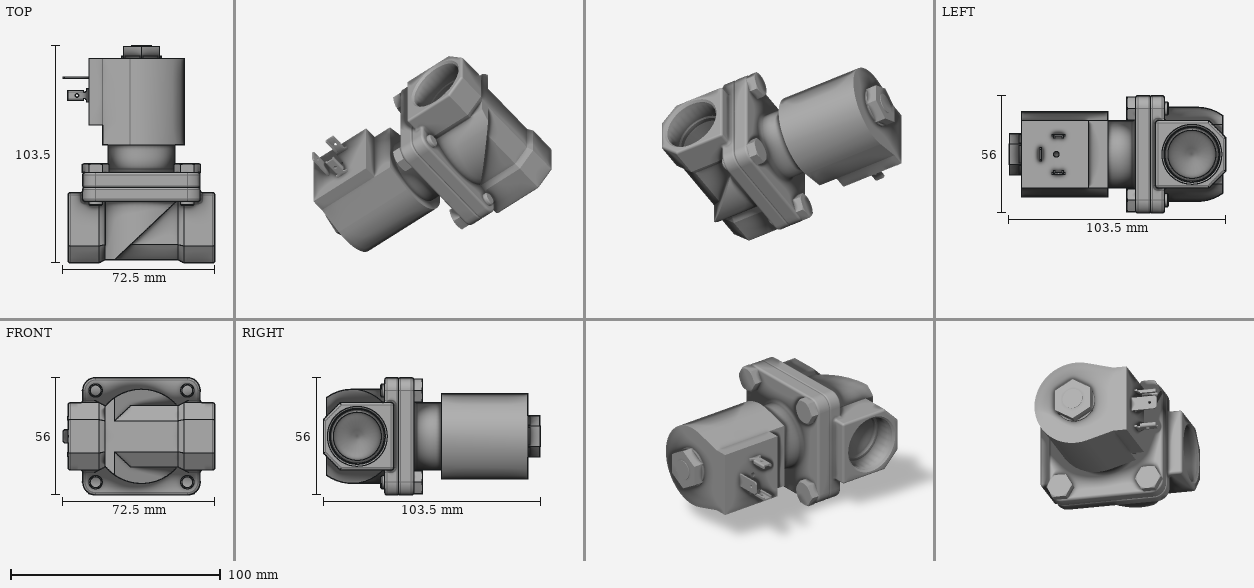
import cadquery as cq
import math


body_half_length = 35.0
end_half_width = 16.0
end_top = 33.5
end_chamfer = 8.1
end_inner = 20.2
tube_half_length = 17.4
tube_inset = 1.5
tube_chamfer = 7.2
end_edge_radius = 1.1

chamber_radius = 22.5
slope_start_x = -12.8
slope_end_x = 16.6

port_axis_y = 16.2
port_radius = 13.4
port_inner_radius = 12.8
port_mouth_radius = 14.3
port_mouth_depth = 1.0
port_depth = 11.2
seat_radius = 11.5
seat_length = 2.1
drill_half_angle = 59

flange_side = 56.0
flange_bottom = 29.3
flange_parting = 35.9
flange_top = 43.2
bolt_offset = 21.8
flange_edge_radius = 1.2
parting_edge_radius = 0.8
body_flange_blend = 1.1

bolt_head_flats = 11.1
bolt_head_height = 4.1
bolt_corner_drop = 0.4
bolt_radius = 3.2
bolt_end_length = 2.0
bolt_end_chamfer = 0.6

neck_radius = 16.0
neck_blend = 1.6
coil_bottom = 56.3
coil_top = 97.5
coil_radius = 20.4
coil_back = -18.5
box_face = -25.0
box_bottom = 65.6
box_half_width = 16.0

washer_radius = 9.5
washer_height = 1.0
nut_flats = 17.2
nut_top = 103.2
stem_tip_radius = 4.9
stem_tip_top = 103.5

terminal_thickness = 0.8
terminal_width = 6.4
terminal_root = 1.0
blade_tip = -37.5
blade_y = 88.3
blade_corner = 0.8
blade_hole_inset = 3.4
blade_hole_radius = 0.7
prong_tip = -35.2
prong_y = 79.8
prong_offset = 9.1
prong_width = 4.9
prong_waist = 3.1
prong_waist_start = -27.5
prong_shoulder = -26.3
prong_shoulder_width = 4.1
prong_lip_height = 0.9
prong_hole_x = -30.7
prong_hole_radius = 0.8
screw_hole_y = 80.8
screw_hole_radius = 1.3
screw_hole_depth = 5.2


def plane_at(y):
    """Workplane across the stem at height y; sketch axes are X and Z."""
    return cq.Workplane("XZ", origin=(0, y, 0))


def disc(radius, bottom, top):
    return plane_at(bottom).circle(radius).extrude(bottom - top)


def hexagon(flats, bottom, top):
    """Hexagonal prism along the stem with two corners on the X axis."""
    across_corners = flats / math.cos(math.pi / 6)
    return plane_at(bottom).polygon(6, across_corners).extrude(bottom - top)


def body_outline(inset, chamfer):
    """Square profile, as (Y, Z) points, across the flow axis with both lower corners cut at 45 degrees."""
    side = end_half_width - inset
    return [
        (end_top, -side),
        (end_top, side),
        (inset + chamfer, side),
        (inset, side - chamfer),
        (inset, chamfer - side),
        (inset + chamfer, -side),
    ]


def end_bar():
    """Straight bar from port to port; only its two ends stay visible below the flange."""
    return (
        cq.Workplane("YZ", origin=(-body_half_length, 0, 0))
        .polyline(body_outline(0, end_chamfer)).close()
        .extrude(2 * body_half_length)
        .edges("<X or >X or (|X and >Y)").fillet(end_edge_radius)
    )


def waist_clearance():
    """Space between the ends, flaring outwards in line with the sides of the tapers."""
    flare_length = end_inner - tube_half_length
    outer_x = end_inner + flare_length
    outer_z = end_half_width + tube_inset
    return (
        plane_at(flange_bottom)
        .polyline([
            (-end_inner, end_half_width),
            (-outer_x, outer_z),
            (outer_x, outer_z),
            (end_inner, end_half_width),
            (end_inner, -end_half_width),
            (outer_x, -outer_z),
            (-outer_x, -outer_z),
            (-end_inner, -end_half_width),
        ]).close()
        .extrude(flange_bottom)
    )


def taper():
    """Transition from the -X end down to the tube."""
    return (
        cq.Workplane("YZ", origin=(-end_inner, 0, 0))
        .polyline(body_outline(0, end_chamfer)).close()
        .workplane(offset=end_inner - tube_half_length)
        .polyline(body_outline(tube_inset, tube_chamfer)).close()
        .loft(ruled=True)
    )


def body_tube():
    return (
        cq.Workplane("YZ", origin=(-tube_half_length, 0, 0))
        .polyline(body_outline(tube_inset, tube_chamfer)).close()
        .extrude(2 * tube_half_length)
    )


def chamber():
    """Cylinder under the flange, removed on the +X side of a sloping face."""
    reach = 2 * chamber_radius
    beyond_slope = (
        cq.Workplane("XY")
        .polyline([
            (slope_start_x, tube_inset),
            (slope_end_x, flange_bottom),
            (reach, flange_bottom),
            (reach, tube_inset),
        ]).close()
        .extrude(reach, both=True)
    )
    beside_tube = cq.Workplane("XY").box(2 * tube_half_length, 2 * flange_bottom, 2 * reach)
    return disc(chamber_radius, tube_inset, flange_bottom).cut(beyond_slope).intersect(beside_tube)


def flange_plate(bottom, top):
    return (
        plane_at(bottom).rect(flange_side, flange_side).extrude(bottom - top)
        .edges("|Y").fillet(flange_side / 2 - bolt_offset)
    )


def port():
    """Threaded port on the -X side: chamfered mouth, bore, seat and drill point."""
    seat_end = port_depth + seat_length
    drill_tip = seat_end + seat_radius / math.tan(math.radians(drill_half_angle))
    profile = [
        (0, 0),
        (0, port_mouth_radius),
        (port_mouth_depth, port_radius),
        (port_depth, port_inner_radius),
        (port_depth, seat_radius),
        (seat_end, seat_radius),
        (drill_tip, 0),
    ]
    return (
        cq.Workplane("XY").polyline(profile).close()
        .revolve(360, (0, 0, 0), (1, 0, 0))
        .translate((-body_half_length, port_axis_y, 0))
    )


def is_body_plate_blend(edge):
    """True for the lower rim of the body plate and for its joints with the end bar."""
    middle = edge.Center()
    tolerance = 0.01
    side = flange_side / 2
    on_underside = abs(middle.y - flange_bottom) < tolerance
    on_plate_side = abs(abs(middle.x) - side) < tolerance and flange_bottom < middle.y < end_top + tolerance
    return on_underside or on_plate_side


def valve_body():
    plate = flange_plate(flange_bottom, flange_parting).faces(">Y").edges().fillet(parting_edge_radius)
    body = plate.union(end_bar())
    blends = [edge for edge in body.edges().vals() if is_body_plate_blend(edge)]
    body = body.newObject(blends).fillet(body_flange_blend).cut(waist_clearance())
    body = body.union(body_tube()).union(taper()).union(taper().mirror("YZ")).union(chamber())
    return body.cut(port()).cut(port().mirror("YZ"))


def bonnet():
    plate = (
        flange_plate(flange_parting, flange_top)
        .faces("<Y").edges().fillet(parting_edge_radius)
        .faces(">Y").edges().fillet(flange_edge_radius)
    )
    neck = disc(neck_radius, flange_top, coil_bottom)
    neck_foot = cq.NearestToPointSelector((0, flange_top, 0))
    return plate.union(neck).edges(neck_foot).fillet(neck_blend)


def bolt(x, z):
    """Hexagon head with its top corners turned down, and the bolt end below the flange."""
    head_top = flange_top + bolt_head_height
    corner_radius = bolt_head_flats / math.sqrt(3)
    corner_cut = corner_radius - bolt_head_flats / 2
    rounding = (
        disc(corner_radius, flange_top, head_top)
        .faces(">Y").edges().chamfer(bolt_corner_drop, corner_cut)
    )
    head = hexagon(bolt_head_flats, flange_top, head_top).intersect(rounding)
    end = (
        disc(bolt_radius, flange_bottom - bolt_end_length, flange_bottom)
        .faces("<Y").edges().chamfer(bolt_end_chamfer)
    )
    return [part.translate((x, 0, z)) for part in (head, end)]


def coil():
    """Round coil whose sides run tangentially to the corners of the flat plug side."""
    corner_distance = math.hypot(coil_back, box_half_width)
    corner_angle = math.atan2(box_half_width, coil_back)
    tangent_angle = corner_angle - math.acos(coil_radius / corner_distance)
    tangent_x = coil_radius * math.cos(tangent_angle)
    tangent_z = coil_radius * math.sin(tangent_angle)
    winding = (
        plane_at(coil_bottom)
        .moveTo(coil_back, -box_half_width)
        .lineTo(tangent_x, -tangent_z)
        .threePointArc((coil_radius, 0), (tangent_x, tangent_z))
        .lineTo(coil_back, box_half_width)
        .close()
        .extrude(coil_bottom - coil_top)
    )
    plug_box = (
        cq.Workplane("XY")
        .box(coil_back - box_face, coil_top - box_bottom, 2 * box_half_width, centered=False)
        .translate((box_face, box_bottom, -box_half_width))
    )
    drill_tip = screw_hole_depth + screw_hole_radius / math.tan(math.radians(drill_half_angle))
    screw_hole = (
        cq.Workplane("XY")
        .polyline([(0, 0), (0, screw_hole_radius), (screw_hole_depth, screw_hole_radius), (drill_tip, 0)])
        .close()
        .revolve(360, (0, 0, 0), (1, 0, 0))
        .translate((box_face, screw_hole_y, 0))
    )
    return winding.union(plug_box).cut(screw_hole)


def top_nut():
    washer = disc(washer_radius, coil_top, coil_top + washer_height)
    nut = hexagon(nut_flats, coil_top, nut_top).rotate((0, 0, 0), (0, 1, 0), 90)
    tip = disc(stem_tip_radius, coil_top, stem_tip_top)
    return washer.union(nut).union(tip)


def blade():
    """Flat terminal lying square to the stem."""
    length = box_face + terminal_root - blade_tip
    strip = (
        plane_at(blade_y)
        .center(blade_tip + length / 2, 0)
        .rect(length, terminal_width)
        .extrude(terminal_thickness / 2, both=True)
        .edges("|Y and <X").chamfer(blade_corner)
    )
    hole = (
        plane_at(blade_y)
        .center(blade_tip + blade_hole_inset, 0)
        .circle(blade_hole_radius)
        .extrude(terminal_thickness, both=True)
    )
    return strip.cut(hole)


def prong():
    """Terminal on the +Z side: waisted strip whose tip is a channel open towards z = 0."""
    root = box_face + terminal_root
    half_outline = [
        (prong_waist_start, prong_waist / 2),
        ((prong_waist_start + prong_shoulder) / 2, prong_waist / 2),
        (prong_shoulder, prong_shoulder_width / 2),
        (prong_shoulder, terminal_width / 2),
        (root, terminal_width / 2),
    ]
    other_half = [(x, -y) for x, y in reversed(half_outline)]
    strip = (
        cq.Workplane("XY")
        .polyline(half_outline + other_half).close()
        .extrude(terminal_thickness)
    )
    channel_length = prong_waist_start - prong_tip
    channel_middle = prong_tip + channel_length / 2
    channel = (
        cq.Workplane("XY", origin=(channel_middle, 0, -prong_lip_height))
        .rect(channel_length, prong_width)
        .extrude(prong_lip_height + terminal_thickness)
        .edges("|X and >Z").fillet(terminal_thickness)
    )
    gap = (
        cq.Workplane("XY", origin=(channel_middle, 0, -prong_lip_height))
        .rect(channel_length, prong_width - 2 * terminal_thickness)
        .extrude(prong_lip_height)
    )
    hole = cq.Workplane("XY").center(prong_hole_x, 0).circle(prong_hole_radius).extrude(terminal_thickness)
    lower_face = prong_offset - terminal_thickness / 2
    return strip.union(channel.cut(gap)).cut(hole).translate((0, prong_y, lower_face))


result = valve_body().union(bonnet())
for x in (-bolt_offset, bolt_offset):
    for z in (-bolt_offset, bolt_offset):
        for bolt_part in bolt(x, z):
            result = result.union(bolt_part)
for part in (coil(), top_nut(), blade(), prong(), prong().mirror("XY")):
    result = result.union(part)